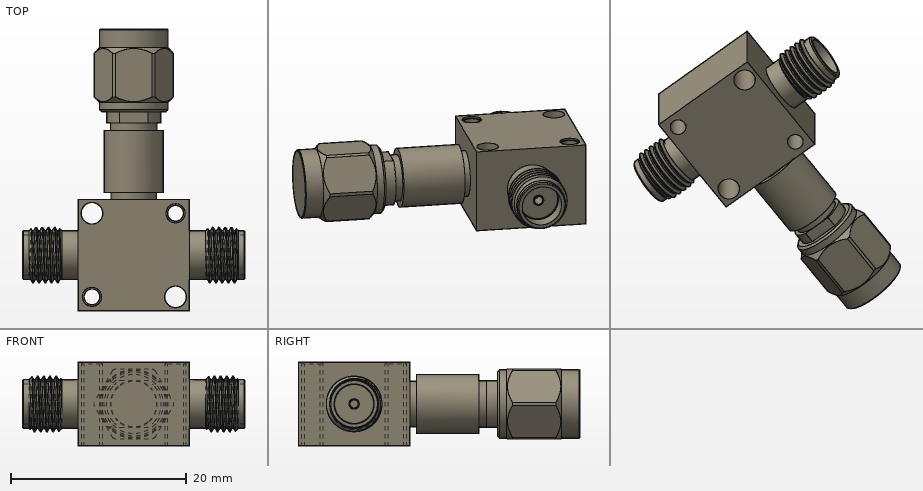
import cadquery as cq
import math

block_side = 12.7
block_height = 9.53
overall_length_x = 25.4
overall_length_y = 32.11
half_side = block_side / 2

hole_offset = 4.765
clearance_hole_diameter = 2.44
tapped_hole_diameter = 1.78
tapped_hole_rim_diameter = 2.18
tapped_hole_rim_depth = 0.2

port_length = (overall_length_x - block_side) / 2
port_diameter = 5.58
port_end_diameter = 5.33
port_end_length = 0.15
port_bore_diameter = 4.57
port_floor_diameter = 4.45
port_bore_depth = 1.9
port_floor_taper_length = 0.15
contact_diameter = 1.19
socket_diameter = 0.94
contact_height = 0.1
socket_depth = 2.0

thread_diameter = 6.35
thread_pitch = 25.4 / 36
thread_start = 0.77
thread_end = 4.5
thread_crest_width = thread_pitch / 8
thread_flank_angle = 30
thread_root_overlap = 0.05
first_crest_at = 0.86

rear_neck_diameter = 5.22
rear_neck_length = 0.76
sleeve_diameter = 6.75
sleeve_length = 7.1
front_neck_diameter = 5.33
front_neck_length = 0.86
collar_diameter = 6.22
collar_length = 1.27
collar_across_flats = front_neck_diameter

nut_ring_diameter = 7.84
nut_front_edge_diameter = 7.64
nut_rear_edge_diameter = 7.3
nut_rear_edge_length = 0.25
nut_front_edge_length = 0.1
nut_rear_ring_length = 1.06
hex_length = 6.25
hex_across_flats = 8.0
hex_corner_diameter = 9.04
hex_chamfer_length = 0.65


def cylinder_along_y(diameter, start, length):
    plane = cq.Workplane("XZ", origin=(0, start, 0))
    return plane.circle(diameter / 2).extrude(-length)


def make_block():
    block = cq.Workplane("XY").box(block_side, block_side, block_height)
    clearance_places = [(-hole_offset, hole_offset), (hole_offset, -hole_offset)]
    tapped_places = [(hole_offset, hole_offset), (-hole_offset, -hole_offset)]
    block = block.faces(">Z").workplane().pushPoints(clearance_places).hole(clearance_hole_diameter)
    return (
        block.faces(">Z").workplane().pushPoints(tapped_places)
        .cboreHole(tapped_hole_diameter, tapped_hole_rim_diameter, tapped_hole_rim_depth)
    )


def make_thread():
    """Right-handed ridge around +Z, with z = 0 at the open end and both ends trimmed to 45 degrees."""
    root_radius = port_diameter / 2 - thread_root_overlap
    crest_radius = thread_diameter / 2
    crest_half = thread_crest_width / 2
    flank_slope = math.tan(math.radians(thread_flank_angle))
    root_half = crest_half + (crest_radius - root_radius) * flank_slope
    helix_start = first_crest_at - thread_pitch
    helix_length = thread_end + thread_pitch - helix_start
    helix = cq.Wire.makeHelix(thread_pitch, helix_length, root_radius)
    ridge = (
        cq.Workplane("XZ")
        .moveTo(root_radius, -root_half)
        .lineTo(crest_radius, -crest_half)
        .lineTo(crest_radius, crest_half)
        .lineTo(root_radius, root_half)
        .close()
        .sweep(cq.Workplane(helix), isFrenet=True)
        .translate((0, 0, helix_start))
    )
    sleeve_radius = crest_radius + thread_root_overlap
    end_radius = root_radius - thread_root_overlap
    run_in = port_diameter / 2 - end_radius
    trimming_sleeve = (
        cq.Workplane("XY", origin=(0, 0, thread_start - run_in))
        .circle(sleeve_radius)
        .extrude(thread_end - thread_start + 2 * run_in)
        .faces("<Z or >Z").edges().chamfer(sleeve_radius - end_radius)
    )
    return ridge.intersect(trimming_sleeve)


def revolve_profile(profile):
    """Close the profile and revolve it about the local Y axis of its workplane."""
    return profile.close().revolve(360, (0, 0, 0), (0, 1, 0))


def make_port():
    """Left-hand port, built around +Z from its open end and then turned to lie along X."""
    floor_at = port_bore_depth + port_floor_taper_length
    profile = (
        cq.Workplane("XZ")
        .moveTo(port_bore_diameter / 2, 0)
        .lineTo(port_end_diameter / 2, 0)
        .lineTo(port_diameter / 2, port_end_length)
        .lineTo(port_diameter / 2, port_length)
        .lineTo(0, port_length)
        .lineTo(0, floor_at + socket_depth)
        .lineTo(socket_diameter / 2, floor_at + socket_depth)
        .lineTo(socket_diameter / 2, floor_at - contact_height)
        .lineTo(contact_diameter / 2, floor_at - contact_height)
        .lineTo(contact_diameter / 2, floor_at)
        .lineTo(port_floor_diameter / 2, floor_at)
        .lineTo(port_bore_diameter / 2, port_bore_depth)
    )
    port = revolve_profile(profile).union(make_thread())
    return (
        port.rotate((0, 0, 0), (1, 1, 1), 120)
        .translate((-overall_length_x / 2, 0, 0))
    )


def make_nut(start):
    end = overall_length_y - half_side
    ring_radius = nut_ring_diameter / 2
    ring_profile = (
        cq.Workplane("XY")
        .moveTo(0, start)
        .lineTo(nut_rear_edge_diameter / 2, start)
        .lineTo(ring_radius, start + nut_rear_edge_length)
        .lineTo(ring_radius, end - nut_front_edge_length)
        .lineTo(nut_front_edge_diameter / 2, end)
        .lineTo(0, end)
    )
    hex_start = start + nut_rear_ring_length
    hex_end = hex_start + hex_length
    hexagon = (
        cq.Workplane("XZ", origin=(0, hex_start, 0))
        .polygon(6, hex_across_flats / math.cos(math.pi / 6))
        .extrude(-hex_length)
    )
    corner_radius = hex_corner_diameter / 2
    hex_envelope = (
        cq.Workplane("XY")
        .moveTo(0, hex_start)
        .lineTo(ring_radius, hex_start)
        .lineTo(corner_radius, hex_start + hex_chamfer_length)
        .lineTo(corner_radius, hex_end - hex_chamfer_length)
        .lineTo(ring_radius, hex_end)
        .lineTo(0, hex_end)
    )
    hexagon = hexagon.intersect(revolve_profile(hex_envelope))
    return revolve_profile(ring_profile).union(hexagon)


def make_barrel():
    sleeve_start = half_side + rear_neck_length
    front_neck_start = sleeve_start + sleeve_length
    collar_start = front_neck_start + front_neck_length
    nut_start = collar_start + collar_length
    flats = cq.Workplane("XY").box(collar_diameter, 2 * overall_length_y, collar_across_flats)
    collar = cylinder_along_y(collar_diameter, collar_start, collar_length).intersect(flats)
    return (
        cylinder_along_y(rear_neck_diameter, half_side, rear_neck_length)
        .union(cylinder_along_y(sleeve_diameter, sleeve_start, sleeve_length))
        .union(cylinder_along_y(front_neck_diameter, front_neck_start, front_neck_length))
        .union(collar)
        .union(make_nut(nut_start))
    )


left_port = make_port()
right_port = left_port.rotate((0, 0, 0), (0, 1, 0), 180)
result = make_block().union(left_port).union(right_port).union(make_barrel())